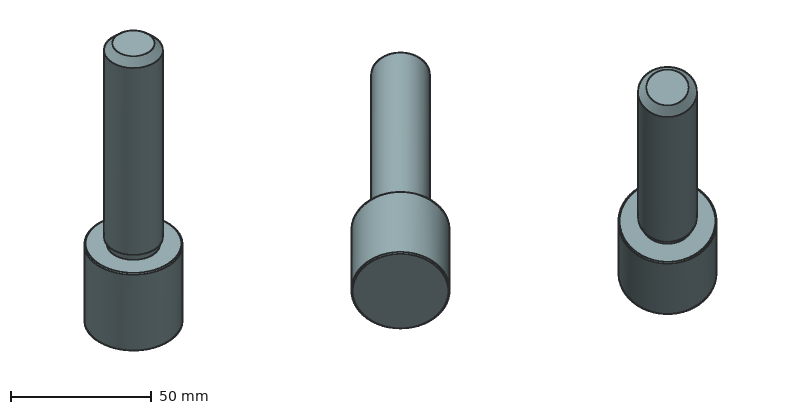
import cadquery as cq

total_length = 125.0

head_diameter = 35.0
head_height = 35.0
head_edge_chamfer = 0.5

neck_diameter = 19.0
neck_height = 3.0

shank_diameter = 21.0
tip_chamfer = 3.0

shank_start = head_height + neck_height
shank_length = total_length - shank_start


def cylinder(diameter, height, base_z):
    """Solid cylinder standing on the plane z = base_z."""
    return cq.Workplane("XY").workplane(offset=base_z).circle(diameter / 2).extrude(height)


head = cylinder(head_diameter, head_height, 0)
head = head.faces("<Z or >Z").edges().chamfer(head_edge_chamfer)

neck = cylinder(neck_diameter, neck_height, head_height)

shank = cylinder(shank_diameter, shank_length, shank_start)
shank = shank.faces(">Z").edges().chamfer(tip_chamfer)

result = head.union(neck).union(shank)